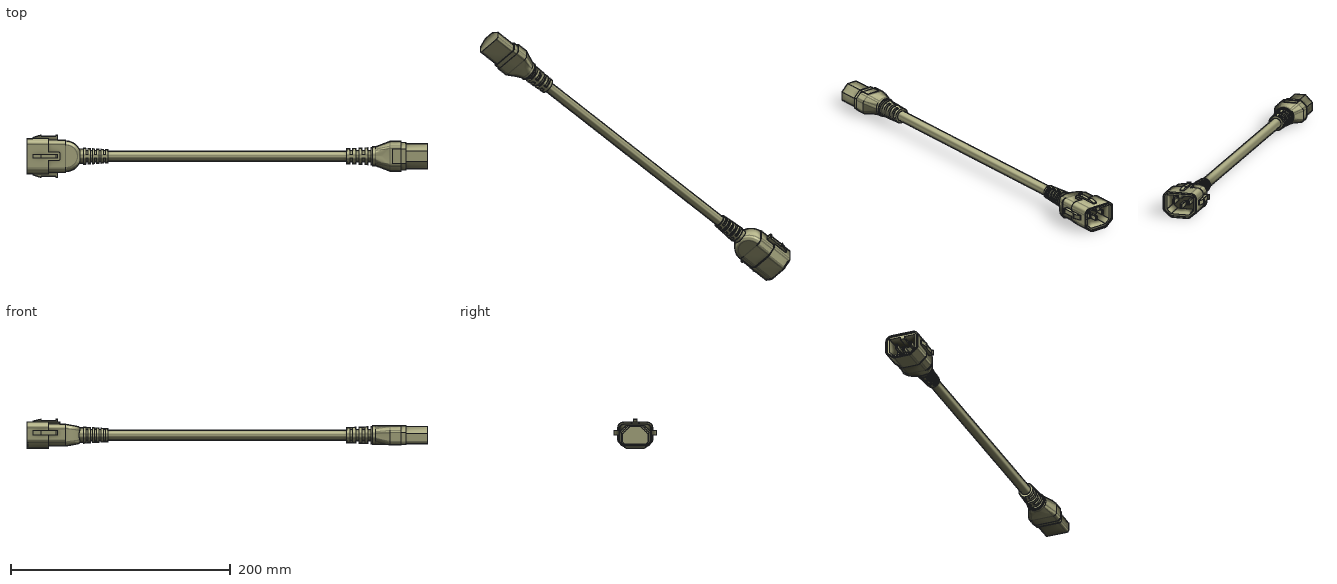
import cadquery as cq


total_length = 364.75
overlap = 1.0
plug_end = 73.6
connector_start = 291.1

cable_radius = 4.7

shroud_length = 19.8
shroud_half_width = 16.0
shroud_half_height = 12.0
shroud_top_fillet = 5.5
shroud_bottom_fillet = 3.0
slant_top_z = -5.6
slant_ratio = 1.19

grip_end = 35.2
grip_inset_side = 1.2
grip_inset_height = 2.0
grip_half_width = shroud_half_width - grip_inset_side
grip_half_height = shroud_half_height - grip_inset_height
grip_top_fillet = 4.3

dome_radius = 14.0
dome_back = 48.3
dome_back_half_height = 7.6
dome_fillet = 3.8

cavity_half_width = 11.5
cavity_half_height = 7.7
cavity_depth = 17.0
cavity_corner_cut = 4.0
cavity_mouth_growth = 1.1
lip_width = 1.4
lip_height = 0.8
key_width = 4.0
key_height = 1.1
pin_width = 2.0
pin_height = 4.0
pin_tip_gap = 3.0
pin_chamfer = 0.5
line_pin_y = 7.0
pin_offset_z = 2.0

latch_start = 5.5
latch_peak = 13.0
latch_hook_start = 26.4
latch_end = 28.0
latch_toe = 1 / 3
latch_dip = 1.1
top_latch_height = 2.58
side_latch_height = 3.35
top_latch_width = 3.4
side_latch_width = 4.2
side_latch_z = 2.2
tongue_end = 30.0
tongue_half_width = 3.8
tongue_corner = 0.8

groove_floor_radius = 5.3
bridge_width = 3.0
plug_relief_start = 51.6
plug_relief_rings = 6
plug_relief_ring_width = 2.2
plug_relief_big_radius = 7.4
plug_relief_small_radius = 6.0
plug_neck_start = 46.0
plug_neck_radius = 6.8
connector_relief_end = 316.0
connector_relief_rings = 5
connector_relief_ring_width = 2.9
connector_relief_big_radius = 8.0
connector_relief_small_radius = 6.9

flange_start = 314.8
flange_end = 317.5
flange_radius = 8.7
shoulder_end = 330.7
jacket_end = 340.6
jacket_half_width = 13.7
jacket_half_height = 8.8
jacket_cut = 5.3
jacket_fillet = 3.1
collar_end = 345.0
collar_half_width = 12.6
collar_half_height = 8.6
collar_cut = 6.2
collar_fillet = 2.2
nose_half_width = 11.5
nose_half_height = 7.9
nose_cut = 6.6
nose_fillet = 2.2
panel_start = 333.0
panel_half_width = 6.5
panel_depth = 0.4


def plane_at(x):
    """Plane across the cord at x: local x is +Y, local y is +Z, the normal is +X."""
    return cq.Workplane("YZ", origin=(x, 0, 0))


def box_between(x0, x1, y0, y1, z0, z1):
    size = cq.Workplane("XY").box(x1 - x0, y1 - y0, z1 - z0, centered=False)
    return size.translate((x0, y0, z0))


def plug_section(x0, x1, half_width, half_height, top_fillet):
    """Plug bar with rounded upper corners and slanted, softened lower corners."""
    slant_y = half_width - slant_ratio * (half_height + slant_top_z)
    bar = (
        plane_at(x0)
        .moveTo(-half_width, half_height)
        .lineTo(half_width, half_height)
        .lineTo(half_width, slant_top_z)
        .lineTo(slant_y, -half_height)
        .lineTo(-slant_y, -half_height)
        .lineTo(-half_width, slant_top_z)
        .close()
        .extrude(x1 - x0)
    )
    bar = bar.edges("|X").edges("not >Z").fillet(shroud_bottom_fillet)
    return bar.edges("|X").edges(">Z").fillet(top_fillet)


def connector_bar(x0, x1, half_width, half_height, cut, bottom_fillet, cut_fillet=0):
    """Connector bar: upper corners cut at 45 degrees, lower corners rounded."""
    bar = (
        plane_at(x0)
        .moveTo(-half_width + cut, half_height)
        .lineTo(half_width - cut, half_height)
        .lineTo(half_width, half_height - cut)
        .lineTo(half_width, -half_height)
        .lineTo(-half_width, -half_height)
        .lineTo(-half_width, half_height - cut)
        .close()
        .extrude(x1 - x0)
    )
    if cut_fillet > 0:
        bar = bar.edges("|X").edges("not <Z").fillet(cut_fillet)
    return bar.edges("|X").edges("<Z").fillet(bottom_fillet)


def strain_relief(x0, x1, radius0, radius1, rings, ring_width):
    """Tapered sleeve with ring grooves; every second groove is bridged at top and bottom."""
    sleeve = (
        cq.Workplane("XY")
        .polyline([(x0, 0), (x0, radius0), (x1, radius1), (x1, 0)])
        .close()
        .revolve(360, (0, 0, 0), (1, 0, 0))
    )
    pitch = (x1 - x0 - ring_width) / (rings - 1)
    outer = max(radius0, radius1) + overlap
    for index in range(rings - 1):
        start = x0 + index * pitch + ring_width
        width = pitch - ring_width
        groove = plane_at(start).circle(outer).circle(groove_floor_radius).extrude(width)
        if index % 2 == 0:
            groove = groove.cut(plane_at(start).rect(bridge_width, 2 * outer).extrude(width))
        sleeve = sleeve.cut(groove)
    return sleeve


def latch(height, width, depth):
    """Latch standing on Z = 0: ramp in front, hook at the back, sunk by depth."""
    profile = (
        cq.Workplane("XZ")
        .moveTo(latch_start, -depth)
        .lineTo(latch_start, latch_toe * height)
        .lineTo(latch_peak, height)
        .lineTo(latch_peak, height - latch_dip)
        .lineTo(latch_hook_start, height - latch_dip)
        .lineTo(latch_hook_start, height)
        .lineTo(latch_end, height)
        .lineTo(latch_end, -depth)
        .close()
    )
    return profile.extrude(width / 2, both=True)


def dome():
    """Half-round end of the grip, thinner toward the cable, with softened rims."""
    plan = (
        cq.Workplane("XY", origin=(0, 0, -grip_half_height))
        .moveTo(grip_end, -dome_radius)
        .threePointArc((grip_end + dome_radius, 0), (grip_end, dome_radius))
        .close()
        .extrude(2 * grip_half_height)
    )
    slope = (grip_half_height - dome_back_half_height) / (dome_back - grip_end)
    tip = grip_end + dome_radius + overlap
    tip_half_height = grip_half_height - slope * (tip - grip_end)
    side = (
        cq.Workplane("XZ")
        .polyline([
            (grip_end, grip_half_height),
            (tip, tip_half_height),
            (tip, -tip_half_height),
            (grip_end, -grip_half_height),
        ])
        .close()
        .extrude(2 * dome_radius, both=True)
    )
    body = plan.intersect(side)
    return body.faces(">Z or <Z").edges("not |Y").fillet(dome_fillet)


def cavity_outline(x, growth):
    half_width = cavity_half_width + growth
    half_height = cavity_half_height + growth
    low_y = half_width - cavity_corner_cut
    low_z = cavity_corner_cut - half_height
    return (
        plane_at(x)
        .moveTo(-half_width, half_height)
        .lineTo(half_width, half_height)
        .lineTo(half_width, low_z)
        .lineTo(low_y, -half_height)
        .lineTo(-low_y, -half_height)
        .lineTo(-half_width, low_z)
        .close()
        .wires()
        .val()
    )


def cavity():
    """Tapered pocket for the mating connector, with a key rib along its roof."""
    mouth = cavity_outline(0, cavity_mouth_growth)
    floor = cavity_outline(cavity_depth, 0)
    pocket = cq.Workplane(cq.Solid.makeLoft([mouth, floor], True))
    return pocket.cut(box_between(
        lip_height, cavity_depth, -key_width / 2, key_width / 2,
        cavity_half_height - key_height, shroud_half_height
    ))


def contact_pin(y, z):
    pin = (
        plane_at(pin_tip_gap)
        .center(y, z)
        .rect(pin_width, pin_height)
        .extrude(cavity_depth - pin_tip_gap + overlap)
    )
    return pin.faces("<X").chamfer(pin_chamfer)


def make_plug():
    body = plug_section(0, shroud_length, shroud_half_width, shroud_half_height, shroud_top_fillet)
    body = body.union(plug_section(
        shroud_length, grip_end, grip_half_width, grip_half_height, grip_top_fillet
    ))
    body = body.union(dome())
    neck = plane_at(plug_neck_start).circle(plug_neck_radius)
    body = body.union(neck.extrude(plug_relief_start - plug_neck_start))
    body = body.union(strain_relief(
        plug_relief_start, plug_end, plug_relief_big_radius, plug_relief_small_radius,
        plug_relief_rings, plug_relief_ring_width
    ))

    tongue = box_between(
        shroud_length, tongue_end, -tongue_half_width, tongue_half_width,
        grip_half_height - overlap, shroud_half_height
    )
    body = body.union(tongue.edges("|Z and >X").chamfer(tongue_corner))

    top_latch = latch(top_latch_height, top_latch_width, overlap)
    body = body.union(top_latch.translate((0, 0, shroud_half_height)))
    side_latch = latch(side_latch_height, side_latch_width, grip_inset_side + overlap)
    for side, turn in ((1, -90), (-1, 90)):
        turned = side_latch.rotate((0, 0, 0), (1, 0, 0), turn)
        body = body.union(turned.translate((0, side * shroud_half_width, side_latch_z)))

    lip_recess = plug_section(
        0, lip_height, shroud_half_width - lip_width, shroud_half_height - lip_width,
        shroud_top_fillet - lip_width
    )
    body = body.cut(lip_recess)
    body = body.cut(cavity())
    for y, z in ((-line_pin_y, pin_offset_z), (0, -pin_offset_z), (line_pin_y, pin_offset_z)):
        body = body.union(contact_pin(y, z))
    return body


def make_cable():
    return plane_at(plug_end).circle(cable_radius).extrude(connector_start - plug_end)


def make_connector():
    jacket = connector_bar(
        shoulder_end, jacket_end, jacket_half_width, jacket_half_height,
        jacket_cut, jacket_fillet, jacket_fillet
    )
    jacket = jacket.cut(box_between(
        panel_start, jacket_end, -panel_half_width, panel_half_width,
        jacket_half_height - panel_depth, jacket_half_height + overlap
    ))

    shoulder_back = jacket.faces("<X").wires().val()
    flange_rim = plane_at(flange_end).circle(flange_radius).wires().val()
    shoulder = cq.Workplane(cq.Solid.makeLoft([flange_rim, shoulder_back], True))

    body = strain_relief(
        connector_start, connector_relief_end, connector_relief_small_radius,
        connector_relief_big_radius, connector_relief_rings, connector_relief_ring_width
    )
    body = body.union(plane_at(flange_start).circle(flange_radius).extrude(flange_end - flange_start))
    body = body.union(shoulder)
    body = body.union(jacket)
    body = body.union(connector_bar(
        jacket_end, collar_end, collar_half_width, collar_half_height, collar_cut, collar_fillet
    ))
    return body.union(connector_bar(
        collar_end, total_length, nose_half_width, nose_half_height, nose_cut, nose_fillet
    ))


plug = make_plug()
cable = make_cable()
connector = make_connector()

result = cq.Compound.makeCompound([plug.val(), cable.val(), connector.val()])